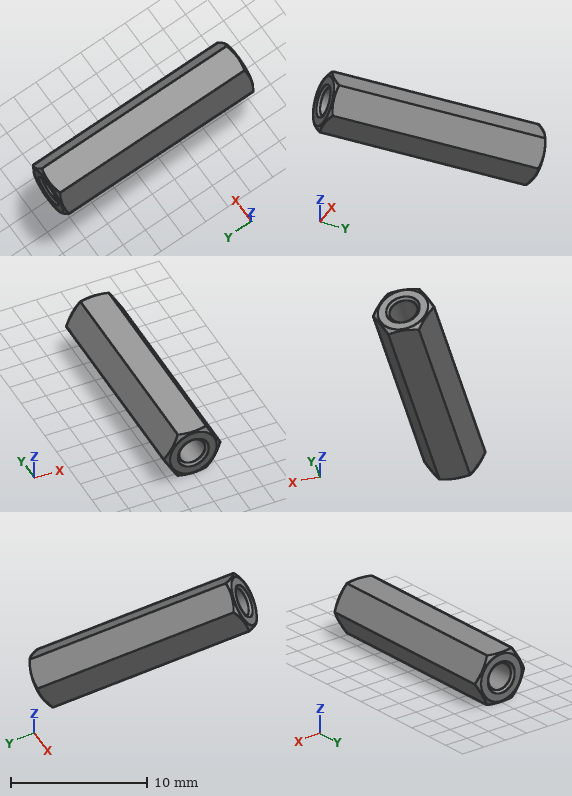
import cadquery as cq
import math

length = 17.0
across_flats = 4.0
across_corners = across_flats / math.cos(math.radians(30))

end_face_diameter = 3.79
chamfer_angle = 30.0

hole_diameter = 2.1
hole_depth = 5.95
drill_point_angle = 118.0
countersink_diameter = 2.52
countersink_angle = 90.0


def revolve_about_y(points):
    """Revolve a closed (radius, y) profile about the Y axis."""
    return cq.Workplane("XY").polyline(points).close().revolve(360, (0, 0), (0, 1))


def hex_bar():
    """Hexagonal bar with its corners pointing along X."""
    return cq.Workplane("XZ").polygon(6, across_corners).extrude(length / 2, both=True)


def chamfer_envelope():
    """Round body whose conical ends trim the hexagon corners."""
    corner_radius = across_corners / 2
    face_radius = end_face_diameter / 2
    chamfer_length = (corner_radius - face_radius) * math.tan(math.radians(chamfer_angle))
    half_length = length / 2
    shoulder = half_length - chamfer_length
    return revolve_about_y([
        (0, -half_length),
        (face_radius, -half_length),
        (corner_radius, -shoulder),
        (corner_radius, shoulder),
        (face_radius, half_length),
        (0, half_length),
    ])


def hole_cutter():
    """Countersunk blind hole with a drill point, entering from the -Y end."""
    mouth = -length / 2
    hole_radius = hole_diameter / 2
    sink_radius = countersink_diameter / 2
    sink_depth = (sink_radius - hole_radius) / math.tan(math.radians(countersink_angle / 2))
    point_length = hole_radius / math.tan(math.radians(drill_point_angle / 2))
    return revolve_about_y([
        (0, mouth),
        (sink_radius, mouth),
        (hole_radius, mouth + sink_depth),
        (hole_radius, mouth + hole_depth),
        (0, mouth + hole_depth + point_length),
    ])


front_hole = hole_cutter()
back_hole = front_hole.mirror("XZ")
result = hex_bar().intersect(chamfer_envelope()).cut(front_hole).cut(back_hole)